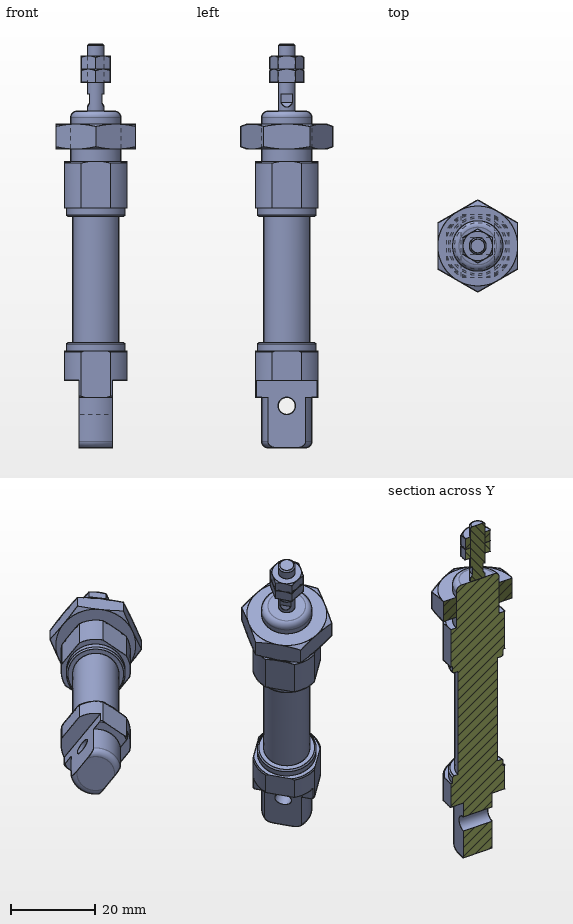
import cadquery as cq
import math

TOTAL_LENGTH = 96.0
TONGUE_TOP = 16.0
REAR_BLOCK_BOTTOM = 12.0
REAR_BLOCK_TOP = 23.0
REAR_COLLAR_TOP = 25.1
FRONT_COLLAR_BOTTOM = 55.0
FRONT_BLOCK_BOTTOM = 57.0
FRONT_BLOCK_TOP = 68.1
NECK_TOP = 80.1

NECK_DIAMETER = 12.0
END_ROUNDING = 1.5
TUBE_DIAMETER = 11.0
COLLAR_DIAMETER = 14.0
COLLAR_CHAMFER = 0.4
BLOCK_WIDTH = 15.0
BLOCK_CORNER_DIAMETER = 16.5
FRONT_BLOCK_FACE_DIAMETER = 15.4
FRONT_BLOCK_CONE_HEIGHT = 0.4
REAR_BLOCK_CHAMFER = 0.3
TONGUE_THICKNESS = 8.0
PIN_HOLE_DIAMETER = 4.0
PIN_HOLE_HEIGHT = 10.0

ROD_DIAMETER = 4.0
ROD_TIP_DIAMETER = 3.3
ROD_FLATS_WIDTH = 3.0
ROD_FLATS_TOP = 84.1
ROD_FLATS_BOTTOM = 82.1
ROD_FLATS_RAMP = 1.1

MOUNTING_NUT_WIDTH = 19.0
MOUNTING_NUT_HEIGHT = 6.0
MOUNTING_NUT_BOTTOM = 71.0
MOUNTING_NUT_CONE_HEIGHT = 0.6
ROD_NUT_WIDTH = 7.0
ROD_NUT_HEIGHT = 3.2
ROD_NUT_BOTTOM = 86.9
ROD_NUT_CONE_HEIGHT = 0.4
ROD_NUT_COUNT = 2


def cylinder(diameter, bottom, top):
    """Round bar on the Z axis between two levels."""
    return cq.Workplane("XY").workplane(offset=bottom).circle(diameter / 2).extrude(top - bottom)


def coned_bar(corner_diameter, face_diameter, cone_height, bottom, top, cone_at_bottom):
    """Round bar whose top end, and optionally its bottom end, tapers to the face diameter."""
    corner_radius = corner_diameter / 2
    face_radius = face_diameter / 2
    profile = cq.Workplane("XZ").moveTo(0, bottom)
    if cone_at_bottom:
        profile = profile.lineTo(face_radius, bottom).lineTo(corner_radius, bottom + cone_height)
    else:
        profile = profile.lineTo(corner_radius, bottom)
    profile = profile.lineTo(corner_radius, top - cone_height).lineTo(face_radius, top).lineTo(0, top)
    return profile.close().revolve(360, (0, 0, 0), (0, 1, 0))


def square_block(bottom, top, face_diameter, cone_height, cone_at_bottom):
    """Square end block with rounded corners, tapered at the top and optionally at the bottom."""
    square = (
        cq.Workplane("XY").workplane(offset=bottom)
        .rect(BLOCK_WIDTH, BLOCK_WIDTH).extrude(top - bottom)
    )
    return square.intersect(
        coned_bar(BLOCK_CORNER_DIAMETER, face_diameter, cone_height, bottom, top, cone_at_bottom)
    )


def make_housing():
    """Neck, front block, tube, rear block and rear tongue with its pin hole."""
    neck = cylinder(NECK_DIAMETER, FRONT_BLOCK_TOP, NECK_TOP).faces(">Z").edges().fillet(END_ROUNDING)
    tube = cylinder(TUBE_DIAMETER, REAR_COLLAR_TOP, FRONT_COLLAR_BOTTOM)
    front_collar = (
        cylinder(COLLAR_DIAMETER, FRONT_COLLAR_BOTTOM, FRONT_BLOCK_BOTTOM)
        .faces("<Z").edges().chamfer(COLLAR_CHAMFER)
    )
    rear_collar = (
        cylinder(COLLAR_DIAMETER, REAR_BLOCK_TOP, REAR_COLLAR_TOP)
        .faces(">Z").edges().chamfer(COLLAR_CHAMFER)
    )
    tail = cylinder(NECK_DIAMETER, 0, REAR_BLOCK_BOTTOM).faces("<Z").edges().fillet(END_ROUNDING)
    rear_block = square_block(
        REAR_BLOCK_BOTTOM, REAR_BLOCK_TOP,
        BLOCK_CORNER_DIAMETER - 2 * REAR_BLOCK_CHAMFER, REAR_BLOCK_CHAMFER, cone_at_bottom=True,
    )
    rear = rear_block.union(tail)

    cut_width = BLOCK_CORNER_DIAMETER
    cut_offset = (TONGUE_THICKNESS + cut_width) / 2
    for side in (-1, 1):
        rear = rear.cut(
            cq.Workplane("XY").center(side * cut_offset, 0)
            .rect(cut_width, cut_width).extrude(TONGUE_TOP)
        )

    pin_hole = (
        cq.Workplane("YZ").center(0, PIN_HOLE_HEIGHT)
        .circle(PIN_HOLE_DIAMETER / 2).extrude(TONGUE_THICKNESS, both=True)
    )
    front_block = square_block(
        FRONT_BLOCK_BOTTOM, FRONT_BLOCK_TOP,
        FRONT_BLOCK_FACE_DIAMETER, FRONT_BLOCK_CONE_HEIGHT, cone_at_bottom=False,
    )
    return (
        rear.cut(pin_hole)
        .union(rear_collar)
        .union(tube)
        .union(front_collar)
        .union(front_block)
        .union(neck)
    )


def make_rod():
    """Piston rod on the neck, with a chamfered tip and two wrench flats that slope out below."""
    tip_chamfer = (ROD_DIAMETER - ROD_TIP_DIAMETER) / 2
    rod = cylinder(ROD_DIAMETER, NECK_TOP, TOTAL_LENGTH).faces(">Z").edges().chamfer(tip_chamfer)
    surface = ROD_DIAMETER / 2
    flat = ROD_FLATS_WIDTH / 2
    flat_cutter = (
        cq.Workplane("XZ")
        .moveTo(surface, ROD_FLATS_TOP)
        .lineTo(flat, ROD_FLATS_TOP)
        .lineTo(flat, ROD_FLATS_BOTTOM)
        .lineTo(surface, ROD_FLATS_BOTTOM - ROD_FLATS_RAMP)
        .close()
        .extrude(ROD_DIAMETER, both=True)
    )
    return rod.cut(flat_cutter).cut(flat_cutter.mirror("YZ"))


def make_nut(width, height, bottom, bore, cone_height, cone_at_bottom):
    """Hexagon nut with flats facing +X and -X and coned corners."""
    top = bottom + height
    corner_diameter = width / math.cos(math.pi / 6)
    prism = (
        cq.Workplane("XY").polygon(6, corner_diameter).extrude(height)
        .rotate((0, 0, 0), (0, 0, 1), 30).translate((0, 0, bottom))
    )
    cones = coned_bar(corner_diameter, width, cone_height, bottom, top, cone_at_bottom)
    return prism.intersect(cones).cut(cylinder(bore, bottom, top))


housing = make_housing()
rod = make_rod()
mounting_nut = make_nut(
    MOUNTING_NUT_WIDTH, MOUNTING_NUT_HEIGHT, MOUNTING_NUT_BOTTOM,
    NECK_DIAMETER, MOUNTING_NUT_CONE_HEIGHT, cone_at_bottom=True,
)
rod_nuts = [
    make_nut(
        ROD_NUT_WIDTH, ROD_NUT_HEIGHT, ROD_NUT_BOTTOM + index * ROD_NUT_HEIGHT,
        ROD_DIAMETER, ROD_NUT_CONE_HEIGHT, cone_at_bottom=False,
    )
    for index in range(ROD_NUT_COUNT)
]

result = cq.Compound.makeCompound(
    [housing.val(), rod.val(), mounting_nut.val(), *[nut.val() for nut in rod_nuts]]
)